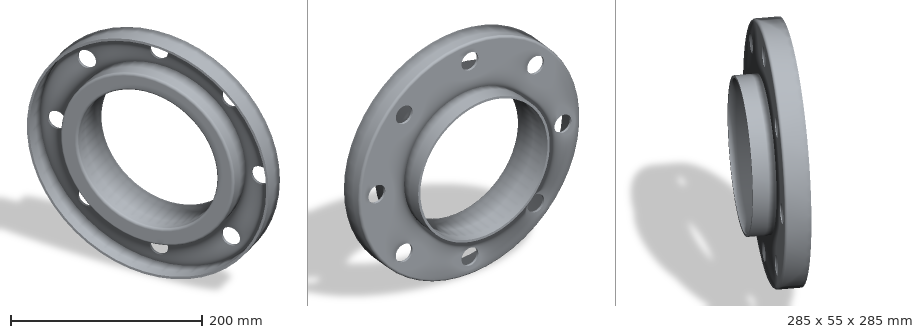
import cadquery as cq

flange_radius = 142.5
flange_depth = 28.0
shell_thickness = 2.8
edge_radius = 2.8

hub_radius = 102.3
hub_projection = 2.0

neck_length = 25.0
neck_radius = 85.0

bore_radius = 82.0

bolt_count = 8
bolt_circle_radius = 120.0
bolt_hole_diameter = 21.7

rim_y = hub_projection
back_y = rim_y + flange_depth
floor_y = back_y - shell_thickness
neck_end_y = back_y + neck_length
rim_inner_radius = flange_radius - shell_thickness


def make_body():
    """Revolve the half section (radius, Y) about the Y axis."""
    section = [
        (bore_radius, 0),
        (hub_radius, 0),
        (hub_radius, floor_y),
        (rim_inner_radius, floor_y),
        (rim_inner_radius, rim_y),
        (flange_radius, rim_y),
        (flange_radius, back_y),
        (neck_radius, back_y),
        (neck_radius, neck_end_y),
        (bore_radius, neck_end_y),
    ]
    return cq.Workplane("XY").polyline(section).close().revolve(360, (0, 0, 0), (0, 1, 0))


def round_edges(body):
    """Round both edges of the hub face and the rear outer edge of the flange."""
    body = body.faces("<Y").edges().fillet(edge_radius)
    rear_face = body.faces(">Y[-2]")
    return rear_face.edges(cq.selectors.RadiusNthSelector(-1)).fillet(edge_radius)


def make_bolt_holes():
    """Cylinders spanning the full depth, equally spaced on the bolt circle."""
    return (
        cq.Workplane("XZ")
        .polarArray(bolt_circle_radius, 0, 360, bolt_count)
        .circle(bolt_hole_diameter / 2)
        .extrude(-neck_end_y)
    )


result = round_edges(make_body()).cut(make_bolt_holes())